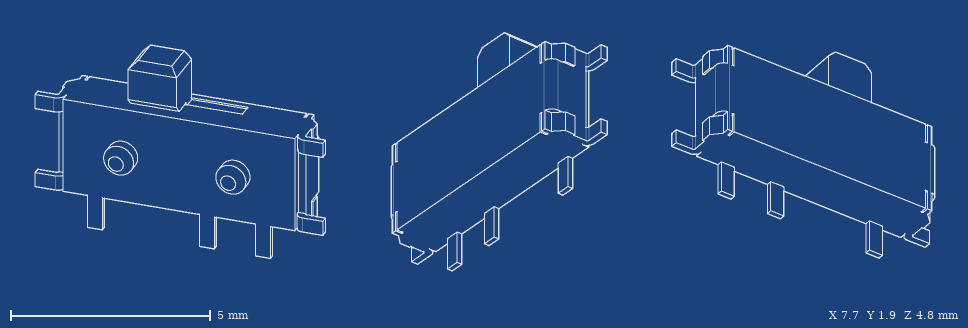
import cadquery as cq


body_depth = 1.4
body_height = 2.6
core_half = 3.1
sheet = 0.2
bend_inner = 0.05
bend_outer = bend_inner + sheet
cover_half = core_half + sheet

tab_height = 0.555
tab_reach = bend_outer
tab_front = body_depth - 0.755
tab_back = body_depth - sheet

slit_width = 0.055
slit_centre = 2.93

foot_span = 7.7
foot_height = 0.4
lower_foot_bend = sheet
upper_foot_bend = bend_outer

slot_half = 1.4
slot_width = 0.4
slot_depth = 0.05
slot_back = body_depth - sheet
knob_length = 1.3
knob_front = 0.1
knob_gap = 0.05
knob_top = 3.9
knob_chamfer = 0.2

peg_x = 1.5
peg_radius = 0.4
peg_length = 0.5
peg_taper = 0.2

pin_positions = (-2.25, 0.75, 2.25)
pin_width = 0.4
pin_thickness = 0.155
pin_length = 0.9

SIDES = (-1, 1)


def block(x_range, y_range, z_range):
    """Axis-aligned box between the given limits."""
    (x0, x1), (y0, y1), (z0, z1) = x_range, y_range, z_range
    return cq.Workplane("XY").box(x1 - x0, y1 - y0, z1 - z0, centered=False).translate((x0, y0, z0))


def on_both_sides(shape):
    """The shape together with its mirror image across the middle of the body."""
    return shape.union(shape.mirror("YZ"))


def end_levels(height):
    """Z ranges of a feature of this height at the bottom and the top of the body."""
    return (0, height), (body_height - height, body_height)


def housing():
    """Plastic core inside a bent cover with notched and slit corners."""
    cover = block((-cover_half, cover_half), (bend_outer, body_depth), (0, body_height))
    cover = cover.edges("|Z and >Y").fillet(bend_outer)
    for z_range in end_levels(tab_height):
        notch = block((core_half, cover_half), (tab_front, body_depth), z_range)
        slit_x = (slit_centre - slit_width / 2, slit_centre + slit_width / 2)
        slit = block(slit_x, (body_depth - sheet, body_depth), z_range)
        cover = cover.cut(on_both_sides(notch)).cut(on_both_sides(slit))
    core = block((-core_half, core_half), (0, bend_outer), (0, body_height))
    return cover.union(core)


def tab(z_range):
    """Retaining tab on the +X side, sloped at 45 degrees towards the back."""
    bottom, top = z_range
    return (
        cq.Workplane("XY", origin=(0, 0, bottom))
        .moveTo(core_half, tab_front)
        .lineTo(core_half + tab_reach, tab_front)
        .lineTo(core_half + tab_reach, tab_back - tab_reach)
        .lineTo(core_half, tab_back)
        .close()
        .extrude(top - bottom)
    )


def foot(z_range, outer_radius):
    """Foot on the +X side, bent outwards from the cover wall."""
    bottom, top = z_range
    return (
        cq.Workplane("XY", origin=(0, 0, bottom))
        .moveTo(core_half, outer_radius)
        .radiusArc((core_half + outer_radius, 0), -outer_radius)
        .lineTo(foot_span / 2, 0)
        .lineTo(foot_span / 2, sheet)
        .lineTo(cover_half + bend_inner, sheet)
        .radiusArc((cover_half, bend_outer), bend_inner)
        .lineTo(core_half, bend_outer)
        .close()
        .extrude(top - bottom)
    )


def slider():
    """Chamfered knob on a stem that stands in the left end of the slot."""
    x_range = (-slot_half, knob_length - slot_half)
    knob_bottom = body_height + knob_gap
    knob = block(x_range, (knob_front, slot_back), (knob_bottom, knob_top))
    knob = knob.faces(">Z").edges("not >Y").chamfer(knob_chamfer)
    knob = knob.faces("<Z").edges("<Y").chamfer(knob_chamfer)
    stem = block(x_range, (slot_back - slot_width, slot_back), (body_height - slot_depth, knob_bottom))
    return knob.union(stem)


def peg(x):
    """Round locating peg on the front face with a tapered tip."""
    return (
        cq.Workplane("XZ", origin=(x, 0, body_height / 2))
        .circle(peg_radius)
        .extrude(peg_length)
        .faces("<Y")
        .chamfer(peg_taper)
    )


def pin(x):
    """Flat terminal pin below the body, flush with the front face."""
    return block((x - pin_width / 2, x + pin_width / 2), (0, pin_thickness), (-pin_length, 0))


result = housing()
for level in end_levels(tab_height):
    result = result.union(on_both_sides(tab(level)))
for level, bend_radius in zip(end_levels(foot_height), (lower_foot_bend, upper_foot_bend)):
    result = result.union(on_both_sides(foot(level, bend_radius)))

slot = block(
    (-slot_half, slot_half),
    (slot_back - slot_width, slot_back),
    (body_height - slot_depth, body_height),
)
result = result.cut(slot).union(slider())

for side in SIDES:
    result = result.union(peg(side * peg_x))
for pin_x in pin_positions:
    result = result.union(pin(pin_x))